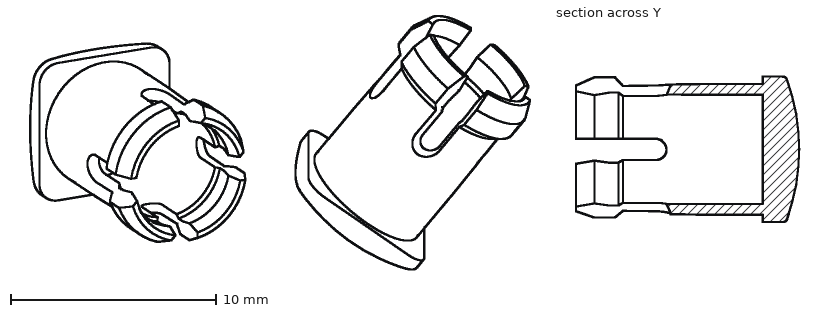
import cadquery as cq

length = 10.9

head_width = 7.11
head_back = 1.8
head_corner_radius = 1.0
dome_radius = 10.0
dome_edge_fillet = 0.25

shank_radius = 3.19
taper_start = 4.84
taper_end = 5.43
taper_end_radius = 3.18
neck_radius = 3.14
bore_radius = 2.66

snap_start = 8.61
snap_crest_start = 9.0
snap_crest_end = 10.01
snap_radius = 3.55
snap_tip_radius = 3.16

relief_start = 8.83
relief_end = 9.29
relief_radius = 2.81
throat_radius = 2.69
mouth_radius = 2.88

slot_width = 1.02
slot_end_center = 7.03
slot_flare_start = 2.6
slot_outer = 3.92


def make_head():
    block = (
        cq.Workplane("YZ")
        .rect(head_width, head_width)
        .extrude(head_back)
        .edges("|X")
        .fillet(head_corner_radius)
    )
    dome = cq.Workplane("XY").sphere(dome_radius).translate((dome_radius, 0, 0))
    return block.intersect(dome).faces("<X").edges().fillet(dome_edge_fillet)


def make_shank():
    profile = [
        (head_back, 0),
        (head_back, shank_radius),
        (taper_start, shank_radius),
        (taper_end, taper_end_radius),
        (snap_start, neck_radius),
        (snap_crest_start, snap_radius),
        (snap_crest_end, snap_radius),
        (length, snap_tip_radius),
        (length, 0),
    ]
    return cq.Workplane("XY").polyline(profile).close().revolve(360, (0, 0, 0), (1, 0, 0))


def make_bore():
    profile = [
        (head_back, 0),
        (head_back, bore_radius),
        (snap_start, bore_radius),
        (relief_start, relief_radius),
        (relief_end, relief_radius),
        (snap_crest_end, throat_radius),
        (length, mouth_radius),
        (length, 0),
    ]
    return cq.Workplane("XY").polyline(profile).close().revolve(360, (0, 0, 0), (1, 0, 0))


def draw_slot(plane, flare):
    """Slot outline open at the snap end, its lower wall moved down by flare."""
    top = slot_width / 2
    bottom = -top - flare
    end_radius = (top - bottom) / 2
    return (
        plane.moveTo(length, top)
        .lineTo(slot_end_center, top)
        .threePointArc((slot_end_center - end_radius, (top + bottom) / 2), (slot_end_center, bottom))
        .lineTo(length, bottom)
        .close()
    )


def make_slot():
    """Slot through the -Y wall, flaring towards -Z."""
    flare_length = slot_outer - slot_flare_start
    straight = draw_slot(cq.Workplane("XZ"), 0).extrude(slot_flare_start)
    flare_base = draw_slot(cq.Workplane("XZ", origin=(0, -slot_flare_start, 0)), 0)
    flared = draw_slot(flare_base.workplane(offset=flare_length), flare_length).loft(ruled=True)
    return straight.union(flared)


front_slot = make_slot()
top_slot = front_slot.rotate((0, 0, 0), (1, 0, 0), 180).mirror("XZ").rotate((0, 0, 0), (1, 0, 0), -90)

result = make_head().union(make_shank()).cut(make_bore())
for slot in (front_slot, top_slot):
    for angle in (0, 180):
        result = result.cut(slot.rotate((0, 0, 0), (1, 0, 0), angle))